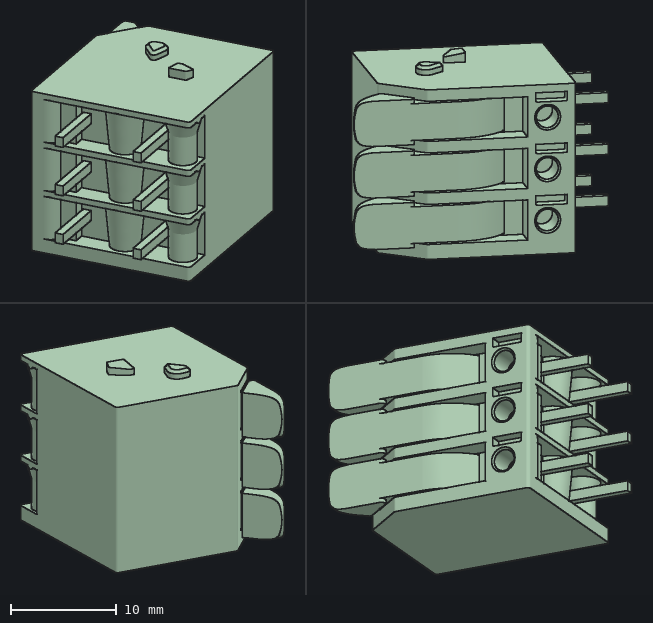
import cadquery as cq
import math

BODY_X = 16.7
BODY_Y = 18.42
TOTAL_Y = 25.3
CORNER_R = 0.33
SLOPE = math.tan(math.radians(50))
BEVEL_START_Y = 14.27

POLES = 3
PITCH = 5.0
FLOOR = 1.47
BODY_Z = FLOOR + POLES * PITCH
RIB = 0.6
POCKET_Z = PITCH - RIB

POCKET_X = 1.42
GUIDE_R = 1.42
GUIDE_END_X = 2.73
BLOCK_START_X = 2.9
BLOCK_END_X = 4.33
BLOCK_Y = 0.94
MID_WALL_Y = 2.15
DEEP_WALL_Y = 3.3

POST_Y = 2.05
CONE_X = 8.93
CONE_BOTTOM_R = 1.5
CONE_TOP_R = 1.9
POST_X = 14.98
POST_R = 1.37
FLARE_R = 1.8
FLARE_Z = 1.5

PIN_OUT = 3.97
PIN_X = 0.83
PIN_Z = 1.0
PIN_CENTER_Z = 2.33
PIN_ROOTS = ((4.9, MID_WALL_Y), (13.08, DEEP_WALL_Y))
PIN_EMBED = 0.25

WIRE_DIAMETER = 2.1
WIRE_MOUTH_DIAMETER = 2.48
WIRE_Y = 2.73
WIRE_CENTER_Z = 1.82
WIRE_DEPTH = 3.04
TEST_Y0 = 0.83
TEST_LENGTH = 3.04
TEST_Z0 = 3.35
TEST_HEIGHT = 0.9
TEST_DEPTH = 1.26
TEST_CORNER_R = 0.18

LEVER_CENTER_Z = 1.95
SLOT_Z = 3.9
SLOT_DEPTH = 2.35
SLOT_START_Y = 4.65
STEM_Z = 3.57
STEM_FOOT_Y = 6.48
STEM_CURVE_Y = (6.73, 11.3)
STEM_CURVE_DEPTH = 2.02
HEAD_Z = 4.4
HEAD_BOTTOM_Y = 15.48
HEAD_LOWER_Y = 14.75
HEAD_APEX_Y = 21.75
HEAD_TIP_Y = TOTAL_Y - PIN_OUT
GRIP_START_Y = 19.33
GRIP_SHOULDER = (20.45, 2.07)
GRIP_CORNER = (21.1, 1.57)
HEAD_BOTTOM_R = 0.35
HEAD_SIDE_R = 0.2
HEAD_TIP_R = 0.23

DROP_CIRCLES = ((6.6, 13.18, 0.8), (7.24, 11.82, 0.38), (7.08, 13.13, 0.9))
DROP_HEIGHT = 0.83
DROP_CHAMFER = 0.3
WEDGE_POINTS = ((10.3, 8.63), (12.15, 8.63), (12.47, 9.65), (10.8, 10.7), (10.3, 10.7))
WEDGE_CORNER_R = 0.13
WEDGE_HIGH = 0.9
WEDGE_LOW = 0.58


def box(x0, x1, y0, y1, z0, z1):
    return cq.Workplane("XY").box(x1 - x0, y1 - y0, z1 - z0, centered=False).translate((x0, y0, z0))


def make_body():
    bevel_end_x = (BODY_Y - BEVEL_START_Y) / SLOPE
    outline = [(0, 0), (BODY_X, 0), (BODY_X, BODY_Y), (bevel_end_x, BODY_Y), (0, BEVEL_START_Y)]
    return cq.Workplane("XY").polyline(outline).close().extrude(BODY_Z).edges("|Z").fillet(CORNER_R)


def make_pocket(floor):
    """Stepped space behind the front face, without its posts."""
    end_angle = math.asin((GUIDE_END_X - POCKET_X) / GUIDE_R)

    def guide_point(angle):
        return (POCKET_X + GUIDE_R * math.sin(angle), GUIDE_R * (1 - math.cos(angle)))

    return (
        cq.Workplane("XY", origin=(0, 0, floor))
        .moveTo(POCKET_X, 0)
        .threePointArc(guide_point(end_angle / 2), guide_point(end_angle))
        .lineTo(BLOCK_START_X, BLOCK_Y)
        .lineTo(BLOCK_END_X, BLOCK_Y)
        .lineTo(BLOCK_END_X, MID_WALL_Y)
        .lineTo(CONE_X, MID_WALL_Y)
        .lineTo(CONE_X, DEEP_WALL_Y)
        .lineTo(BODY_X, DEEP_WALL_Y)
        .lineTo(BODY_X, 0)
        .close()
        .extrude(POCKET_Z)
    )


def make_posts(floor):
    """Tapered post and flared round post joining floor and ceiling, the flare trimmed at the +X side."""
    ceiling = floor + POCKET_Z
    cone = cq.Solid.makeCone(CONE_BOTTOM_R, CONE_TOP_R, POCKET_Z, cq.Vector(CONE_X, POST_Y, floor))
    post = cq.Solid.makeCylinder(POST_R, POCKET_Z, cq.Vector(POST_X, POST_Y, floor))
    flare = cq.Solid.makeCone(POST_R, FLARE_R, FLARE_Z, cq.Vector(POST_X, POST_Y, ceiling - FLARE_Z))
    posts = cq.Workplane(cone).union(cq.Workplane(post)).union(cq.Workplane(flare))
    return posts.intersect(box(0, BODY_X, 0, BODY_Y, 0, BODY_Z))


def make_pins(floor):
    pins = cq.Workplane("XY")
    z0 = floor + PIN_CENTER_Z - PIN_Z / 2
    for x, wall_y in PIN_ROOTS:
        pins = pins.union(box(x - PIN_X / 2, x + PIN_X / 2, -PIN_OUT, wall_y + PIN_EMBED, z0, z0 + PIN_Z))
    return pins


def make_wire_entry(floor):
    radius = WIRE_DIAMETER / 2
    mouth_radius = WIRE_MOUTH_DIAMETER / 2
    start = cq.Vector(0, WIRE_Y, floor + WIRE_CENTER_Z)
    along_x = cq.Vector(1, 0, 0)
    hole = cq.Solid.makeCylinder(radius, WIRE_DEPTH, start, along_x)
    mouth = cq.Solid.makeCone(mouth_radius, radius, mouth_radius - radius, start, along_x)
    return cq.Workplane(hole).union(cq.Workplane(mouth))


def make_test_slot(floor):
    z0 = floor + TEST_Z0
    slot = box(0, TEST_DEPTH, TEST_Y0, TEST_Y0 + TEST_LENGTH, z0, z0 + TEST_HEIGHT)
    return slot.edges("|X and <Z").fillet(TEST_CORNER_R)


def make_lever_slot(floor):
    return box(0, SLOT_DEPTH, SLOT_START_Y, BODY_Y, floor, floor + SLOT_Z)


def make_stem(center_z):
    """Narrow lever arm whose lower face curves away into the slot."""
    curve_low, curve_high = STEM_CURVE_Y
    return (
        cq.Workplane("XY", origin=(0, 0, center_z - STEM_Z / 2))
        .moveTo(0, HEAD_BOTTOM_Y + HEAD_BOTTOM_R)
        .lineTo(0, curve_high)
        .tangentArcPoint((STEM_CURVE_DEPTH, curve_low), relative=False)
        .lineTo(SLOT_DEPTH, STEM_FOOT_Y)
        .lineTo(SLOT_DEPTH, HEAD_LOWER_Y + SLOPE * SLOT_DEPTH)
        .close()
        .extrude(STEM_Z)
    )


def make_head(center_z):
    """Wedge-shaped finger grip, rounded off towards its tip."""
    half = HEAD_Z / 2
    side_x = (HEAD_APEX_Y - HEAD_LOWER_Y) / (2 * SLOPE)
    side_y = (HEAD_APEX_Y + HEAD_LOWER_Y) / 2
    bottom_x = (HEAD_BOTTOM_Y - HEAD_LOWER_Y) / SLOPE
    wedge = (
        cq.Workplane("XY")
        .polyline([(0, HEAD_BOTTOM_Y), (bottom_x, HEAD_BOTTOM_Y), (side_x, side_y), (0, HEAD_APEX_Y)])
        .close()
        .extrude(HEAD_Z)
        .translate((0, 0, -half))
    )
    wedge = wedge.edges("|Z and >X").fillet(HEAD_SIDE_R)
    wedge = wedge.edges("|Z and >Y").fillet(HEAD_TIP_R)
    wedge = wedge.edges("|Z and <X and <Y").fillet(HEAD_BOTTOM_R)
    corner_y, corner_half = GRIP_CORNER
    half_grip = (
        cq.Workplane("YZ")
        .moveTo(HEAD_BOTTOM_Y, -corner_half)
        .lineTo(HEAD_BOTTOM_Y, half)
        .lineTo(GRIP_START_Y, half)
        .tangentArcPoint(GRIP_SHOULDER, relative=False)
        .tangentArcPoint(GRIP_CORNER, relative=False)
        .threePointArc((HEAD_TIP_Y, 0), (corner_y, -corner_half))
        .lineTo(HEAD_BOTTOM_Y, -corner_half)
        .close()
        .extrude(side_x)
    )
    grip = half_grip.union(half_grip.mirror("XY"))
    return wedge.intersect(grip).translate((0, 0, center_z))


def make_drop_boss():
    """Chamfered boss whose outline is the taut belt around three circles, taken anticlockwise."""
    tangents = []
    for i, (x0, y0, r0) in enumerate(DROP_CIRCLES):
        x1, y1, r1 = DROP_CIRCLES[(i + 1) % len(DROP_CIRCLES)]
        heading = math.atan2(y1 - y0, x1 - x0)
        normal = heading - math.acos((r0 - r1) / math.hypot(x1 - x0, y1 - y0))
        tangents.append(normal)

    def on_circle(circle, angle):
        x, y, radius = circle
        return (x + radius * math.cos(angle), y + radius * math.sin(angle))

    outline = cq.Workplane("XY", origin=(0, 0, BODY_Z))
    outline = outline.moveTo(*on_circle(DROP_CIRCLES[0], tangents[0]))
    for i, circle in enumerate(DROP_CIRCLES):
        next_circle = DROP_CIRCLES[(i + 1) % len(DROP_CIRCLES)]
        arrive = tangents[i]
        leave = tangents[(i + 1) % len(tangents)]
        sweep = (leave - arrive) % (2 * math.pi)
        outline = outline.lineTo(*on_circle(next_circle, arrive))
        outline = outline.threePointArc(
            on_circle(next_circle, arrive + sweep / 2), on_circle(next_circle, arrive + sweep)
        )
    return outline.close().extrude(DROP_HEIGHT).faces(">Z").chamfer(DROP_CHAMFER)


def make_wedge_boss():
    """Five-sided boss whose top slopes down towards +Y."""
    y_values = [y for x, y in WEDGE_POINTS]
    near_y = min(y_values)
    far_y = max(y_values)
    prism = cq.Workplane("XY").polyline(WEDGE_POINTS).close().extrude(WEDGE_HIGH)
    prism = prism.edges("|Z").fillet(WEDGE_CORNER_R)
    side = [(near_y, 0), (near_y, WEDGE_HIGH), (far_y, WEDGE_LOW), (far_y, 0)]
    slope = cq.Workplane("YZ").polyline(side).close().extrude(BODY_X)
    return prism.intersect(slope).translate((0, 0, BODY_Z))


result = make_body()
for pole in range(POLES):
    floor_z = FLOOR + pole * PITCH
    lever_z = floor_z + LEVER_CENTER_Z
    result = result.cut(make_pocket(floor_z)).union(make_posts(floor_z))
    result = result.cut(make_wire_entry(floor_z)).cut(make_test_slot(floor_z))
    result = result.cut(make_lever_slot(floor_z))
    result = result.union(make_stem(lever_z).union(make_head(lever_z)))
    result = result.union(make_pins(floor_z))
result = result.union(make_drop_boss()).union(make_wedge_boss())